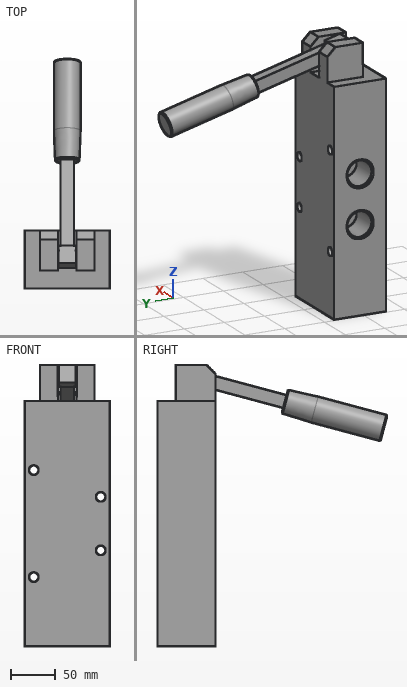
import cadquery as cq
import math

housing_width = 95.0
housing_depth = 65.0
housing_height = 273.8
overall_height = 314
overall_depth = 256.5

cheek_span = 61.2
cheek_gap = 21.0
cheek_depth = 44.5
cheek_height = overall_height - housing_height
cheek_chamfer = 10.0

mid_height = housing_height / 2
mounting_diameter = 10.5
mounting_offset_x = 37.5
near_offset_z = 29.8
far_offset_z = 2 * near_offset_z
port_diameter = 30.0
port_mouth_chamfer = 2.0
port_depth = 37.7

lever_tilt = 15
hub_y = 35.5
hub_size = 20.0
hub_width = 19.5
bar_size = 15.0
grip_diameter = 30.0
grip_neck_diameter = 27.5
grip_length = 114.5
grip_taper_length = 34.5
grip_chamfer = 1.3

tilt_radians = math.radians(lever_tilt)
hub_z = overall_height - hub_size / 2 * (math.cos(tilt_radians) + math.sin(tilt_radians))

end_radius = grip_diameter / 2 - grip_chamfer
grip_end = (overall_depth - hub_y - end_radius * math.sin(tilt_radians)) / math.cos(tilt_radians)
grip_start = grip_end - grip_length


def make_cheek(side):
    """One cheek with its upper rear edge chamfered; side is -1 or 1."""
    thickness = (cheek_span - cheek_gap) / 2
    centre_x = side * (cheek_gap + thickness) / 2
    return (
        cq.Workplane("XY")
        .box(thickness, cheek_depth, cheek_height, centered=(True, False, False))
        .faces(">Z").edges(">Y").chamfer(cheek_chamfer)
        .translate((centre_x, housing_depth - cheek_depth, housing_height))
    )


def make_mounting_holes():
    """Through holes along Y, wide spacing on the left and narrow on the right."""
    points = []
    for direction in (-1, 1):
        points.append((-mounting_offset_x, mid_height + direction * far_offset_z))
        points.append((mounting_offset_x, mid_height + direction * near_offset_z))
    return (
        cq.Workplane("XZ").pushPoints(points)
        .circle(mounting_diameter / 2).extrude(-housing_depth)
    )


def make_port(centre_z):
    """Blind port cutter entering the -X side, with a conical mouth."""
    radius = port_diameter / 2
    mouth_radius = radius + port_mouth_chamfer
    return (
        cq.Workplane("XY")
        .polyline([
            (0, 0),
            (0, mouth_radius),
            (port_mouth_chamfer, radius),
            (port_depth, radius),
            (port_depth, 0),
        ])
        .close()
        .revolve(360, (0, 0, 0), (1, 0, 0))
        .translate((-housing_width / 2, housing_depth / 2, centre_z))
    )


def make_housing():
    """Valve block with cheeks, mounting holes and ports."""
    housing = cq.Workplane("XY").box(
        housing_width, housing_depth, housing_height, centered=(True, False, False)
    )
    for side in (-1, 1):
        housing = housing.union(make_cheek(side))
    housing = housing.cut(make_mounting_holes())
    for direction in (-1, 1):
        housing = housing.cut(make_port(mid_height + direction * near_offset_z))
    return housing


def make_grip():
    """Round grip about the Y axis: tapered neck, then a cylinder."""
    radius = grip_diameter / 2
    neck_radius = grip_neck_diameter / 2
    return (
        cq.Workplane("XY")
        .polyline([
            (0, grip_start),
            (neck_radius - grip_chamfer, grip_start),
            (neck_radius, grip_start + grip_chamfer),
            (radius, grip_start + grip_taper_length),
            (radius, grip_end - grip_chamfer),
            (end_radius, grip_end),
            (0, grip_end),
        ])
        .close()
        .revolve(360, (0, 0, 0), (0, 1, 0))
    )


def make_lever():
    """Hub, square bar and grip, tilted down towards +Y between the cheeks."""
    hub = cq.Workplane("XY").box(hub_width, hub_size, hub_size)
    bar = cq.Workplane("XY").box(bar_size, grip_start + grip_chamfer, bar_size, centered=(True, False, True))
    lever = hub.union(bar).union(make_grip())
    return lever.rotate((0, 0, 0), (1, 0, 0), -lever_tilt).translate((0, hub_y, hub_z))


housing = make_housing()
lever = make_lever()
result = cq.Compound.makeCompound([housing.val(), lever.val()])